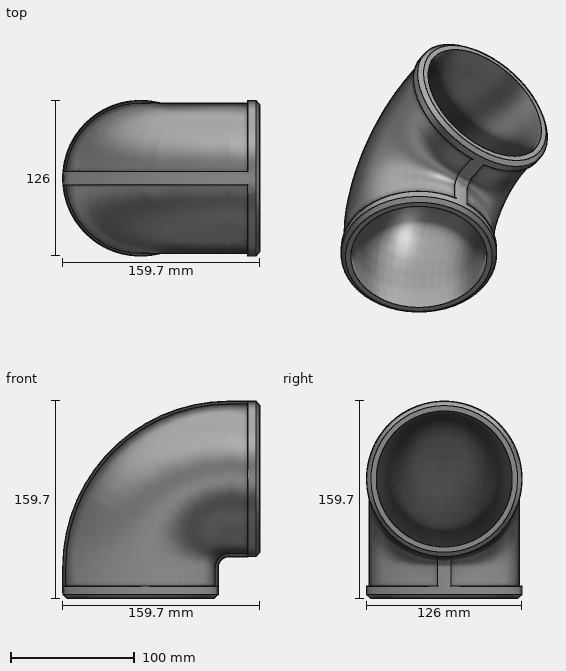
import cadquery as cq
collar_radius = 126.0 / 2
body_radius = 121.5 / 2
bore_radius = 110.07 / 2
bend_radius = 71.67
straight_length = 25.0

rib_width = 10.8
collar_length = 10.0
edge_round = 0.55
chamfer_length = 3.2
chamfer_depth = 3.6

rib_start = collar_length - edge_round

outlet_x = bend_radius + straight_length
outlet_z = straight_length + bend_radius

inlet_plane = cq.Plane(origin=(0, 0, 0), xDir=(1, 0, 0), normal=(0, 0, 1))
outlet_plane = cq.Plane(origin=(outlet_x, 0, outlet_z), xDir=(0, 0, 1), normal=(-1, 0, 0))


def pipe_section():
    """Pipe ring with a round-edged rib on either side, along the local X axis."""
    ribs = cq.Sketch().circle(collar_radius).rect(2 * collar_radius, rib_width, mode="i")
    ribs.vertices().fillet(edge_round).reset()
    return ribs.circle(body_radius).circle(bore_radius, mode="s")


def bend():
    """Quarter-turn bend between the two straight ends."""
    return (
        cq.Workplane("XY", origin=(0, 0, straight_length))
        .placeSketch(pipe_section())
        .revolve(90, (bend_radius, 0, 0), (bend_radius, 1, 0))
    )


def straight_end(end_plane):
    """Ribbed pipe from inside the collar to the start of the bend."""
    return (
        cq.Workplane(end_plane)
        .workplane(offset=rib_start)
        .placeSketch(pipe_section())
        .extrude(straight_length - rib_start)
    )


def collar(end_plane):
    """Ring round the pipe end, with a bevelled rim and a rounded back edge."""
    ring = (
        cq.Workplane("XZ")
        .moveTo(bore_radius, 0)
        .lineTo(collar_radius - chamfer_depth, 0)
        .lineTo(collar_radius, chamfer_length)
        .lineTo(collar_radius, collar_length - edge_round)
        .radiusArc((collar_radius - edge_round, collar_length), -edge_round)
        .lineTo(bore_radius, collar_length)
        .close()
        .revolve(360, (0, 0, 0), (0, 1, 0))
    )
    return ring.val().moved(end_plane.location)


result = bend()
for end_plane in (inlet_plane, outlet_plane):
    result = result.union(straight_end(end_plane)).union(collar(end_plane))